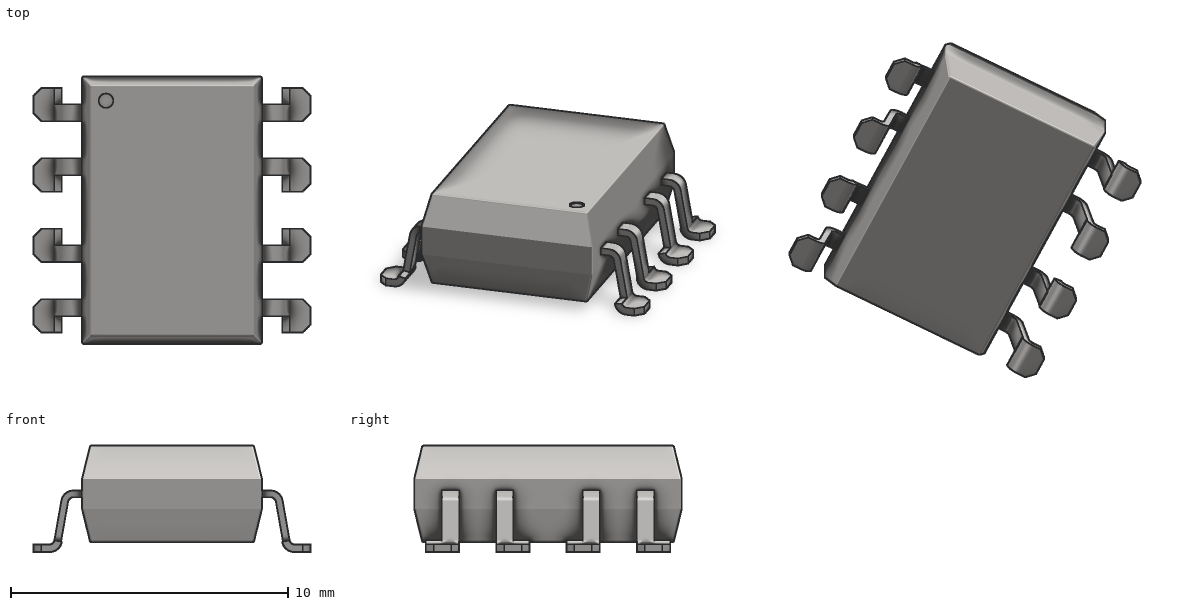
import cadquery as cq
import math

BODY_X = 6.5
BODY_Y = 9.66
BODY_BOTTOM = 0.35
BODY_TOP = 3.85
BODY_MIDDLE = (BODY_BOTTOM + BODY_TOP) / 2
BELT_HEIGHT = 1.08
TAPER_HEIGHT = (BODY_TOP - BODY_BOTTOM - BELT_HEIGHT) / 2
TAPER_ANGLE = 13.8
EDGE_RADIUS = 0.09

MARK_RADIUS = 0.26
MARK_X = -2.38
MARK_Y = 3.95
MARK_DEPTH = 0.05

LEAD_SPAN = 10.0
LEAD_PITCH = 2.54
LEADS_PER_SIDE = 4
LEG_THICKNESS = 0.25
LEG_WIDTH = 0.62
LEG_LEAN = 10.0
FOOT_THICKNESS = 0.28
FOOT_WIDTH = 1.21
FOOT_CHAMFER = 0.29
BEND_START = 3.55
BEND_RADIUS = 0.45
BEND_ANGLE = math.radians(90 - LEG_LEAN)
SHOULDER_TOP = BODY_MIDDLE + LEG_THICKNESS / 2


def tapered_half(direction):
    """Tapered half of the housing above (+1) or below (-1) the belt."""
    return (
        cq.Workplane("XY")
        .workplane(offset=BODY_MIDDLE + direction * BELT_HEIGHT / 2)
        .rect(BODY_X, BODY_Y)
        .extrude(direction * TAPER_HEIGHT, taper=TAPER_ANGLE)
    )


def make_housing():
    belt = cq.Workplane("XY").box(BODY_X, BODY_Y, BELT_HEIGHT).translate((0, 0, BODY_MIDDLE))
    body = belt.union(tapered_half(1)).union(tapered_half(-1))
    body = body.edges("(not #Z) or >Z or <Z").fillet(EDGE_RADIUS)
    mark = (
        cq.Workplane("XY")
        .workplane(offset=BODY_TOP - MARK_DEPTH)
        .center(MARK_X, MARK_Y)
        .circle(MARK_RADIUS)
        .extrude(MARK_DEPTH)
    )
    return body.cut(mark)


def arc_point(center, radius, angle):
    """Point in the XZ plane, with the angle in radians from straight up."""
    return (center[0] + radius * math.sin(angle), center[1] + radius * math.cos(angle))


SHOULDER_CENTER = (BEND_START, SHOULDER_TOP - BEND_RADIUS)
SHOULDER_INNER = BEND_RADIUS - LEG_THICKNESS
FOOT_INNER = BEND_RADIUS - FOOT_THICKNESS
LEG_TOP_OUTER = arc_point(SHOULDER_CENTER, BEND_RADIUS, BEND_ANGLE)
LEG_TOP_INNER = arc_point(SHOULDER_CENTER, SHOULDER_INNER, BEND_ANGLE)

FOOT_DROP = LEG_TOP_OUTER[1] - (BEND_RADIUS - FOOT_INNER * math.cos(BEND_ANGLE))
FOOT_BEND_X = (
    LEG_TOP_OUTER[0]
    + FOOT_DROP * math.tan(math.radians(LEG_LEAN))
    + FOOT_INNER * math.sin(BEND_ANGLE)
)
FOOT_CENTER = (FOOT_BEND_X, BEND_RADIUS)
LEG_ANGLE = math.pi + BEND_ANGLE
LEG_BOTTOM_OUTER = arc_point(FOOT_CENTER, FOOT_INNER, LEG_ANGLE)
LEG_BOTTOM_INNER = arc_point(FOOT_CENTER, FOOT_INNER + LEG_THICKNESS, LEG_ANGLE)


def extrude_along_y(profile, width, y_middle):
    return profile.extrude(width / 2, both=True).translate((0, y_middle, 0))


def make_leg(y_middle):
    """Shoulder, upper bend and sloping leg, on the +X side."""
    mid_angle = BEND_ANGLE / 2
    profile = (
        cq.Workplane("XZ")
        .moveTo(BODY_X / 2, SHOULDER_TOP)
        .lineTo(BEND_START, SHOULDER_TOP)
        .threePointArc(arc_point(SHOULDER_CENTER, BEND_RADIUS, mid_angle), LEG_TOP_OUTER)
        .lineTo(*LEG_BOTTOM_OUTER)
        .lineTo(*LEG_BOTTOM_INNER)
        .lineTo(*LEG_TOP_INNER)
        .threePointArc(
            arc_point(SHOULDER_CENTER, SHOULDER_INNER, mid_angle),
            (BEND_START, SHOULDER_TOP - LEG_THICKNESS),
        )
        .lineTo(BODY_X / 2, SHOULDER_TOP - LEG_THICKNESS)
        .close()
    )
    return extrude_along_y(profile, LEG_WIDTH, y_middle)


def make_foot(y_middle):
    """Lower bend and flat foot with chamfered tip corners, on the +X side."""
    mid_angle = math.pi + BEND_ANGLE / 2
    profile = (
        cq.Workplane("XZ")
        .moveTo(LEAD_SPAN / 2, 0)
        .lineTo(FOOT_BEND_X, 0)
        .threePointArc(
            arc_point(FOOT_CENTER, BEND_RADIUS, mid_angle),
            arc_point(FOOT_CENTER, BEND_RADIUS, LEG_ANGLE),
        )
        .lineTo(*LEG_BOTTOM_OUTER)
        .threePointArc(
            arc_point(FOOT_CENTER, FOOT_INNER, mid_angle),
            (FOOT_BEND_X, FOOT_THICKNESS),
        )
        .lineTo(LEAD_SPAN / 2, FOOT_THICKNESS)
        .close()
    )
    foot = extrude_along_y(profile, FOOT_WIDTH, y_middle)
    return foot.faces(">X").edges("|Z").chamfer(FOOT_CHAMFER)


def make_lead(side, y_middle, leg_side):
    """Lead on the -X or +X side; the leg is flush with the foot's leg_side edge in Y."""
    leg_y = y_middle + leg_side * (FOOT_WIDTH - LEG_WIDTH) / 2
    lead = make_foot(y_middle).union(make_leg(leg_y))
    if side < 0:
        lead = lead.mirror("YZ")
    return lead


housing = make_housing()

leads = []
for side in (-1, 1):
    for row in range(LEADS_PER_SIDE):
        lead_y = (row - (LEADS_PER_SIDE - 1) / 2) * LEAD_PITCH
        leg_side = 1 if row % 2 == 0 else -1
        leads.append(make_lead(side, lead_y, leg_side).val())

result = cq.Compound.makeCompound([housing.val(), *leads])